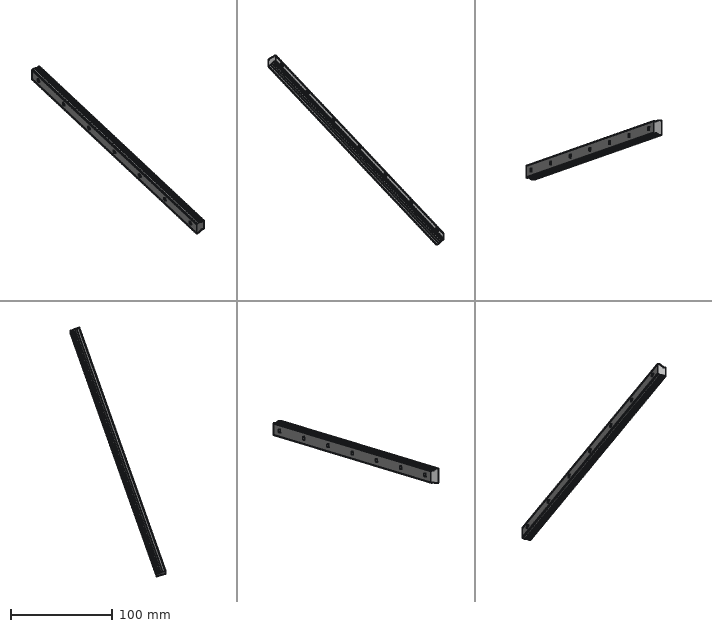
import cadquery as cq

rail_length = 260.0
rail_height = 9.5
rail_width = 15.0

hole_diameter = 3.5
hole_pitch = 40.0
hole_count = 7


base_chamfer = 0.7
base_land_end = 3.1

shoulder_end = 4.35
shoulder_depth = 0.67
groove_start = 5.0
groove_start_depth = 0.8
root_position = 6.7
root_depth = 1.78

head_start = 8.1
head_depth = 1.22
head_chamfer = 0.7


def rail_profile():
    """YZ outline, mirrored about the middle of the rail width."""
    base = -rail_height / 2
    half_width = rail_width / 2
    upper_half = [
        (0, half_width - base_chamfer),
        (base_chamfer, half_width),
        (base_land_end, half_width),
        (shoulder_end, half_width - shoulder_depth),
        (groove_start, half_width - groove_start_depth),
        (root_position, half_width - root_depth),
        (head_start, half_width - head_depth),
        (rail_height - head_chamfer, half_width - head_depth),
        (rail_height, half_width - head_depth - head_chamfer),
    ]
    upper = [(base + height, z) for height, z in upper_half]
    lower = [(y, -z) for y, z in reversed(upper)]
    return upper + lower


def make_rail():
    """Straight extrusion of the profile, centred along X."""
    end_face = cq.Workplane("YZ", origin=(-rail_length / 2, 0, 0))
    return end_face.polyline(rail_profile()).close().extrude(rail_length)


def make_holes():
    """Row of through holes along the rail, parallel to Y."""
    return (
        cq.Workplane("XZ")
        .rarray(hole_pitch, 1, hole_count, 1)
        .circle(hole_diameter / 2)
        .extrude(rail_height / 2, both=True)
    )


result = make_rail().cut(make_holes())